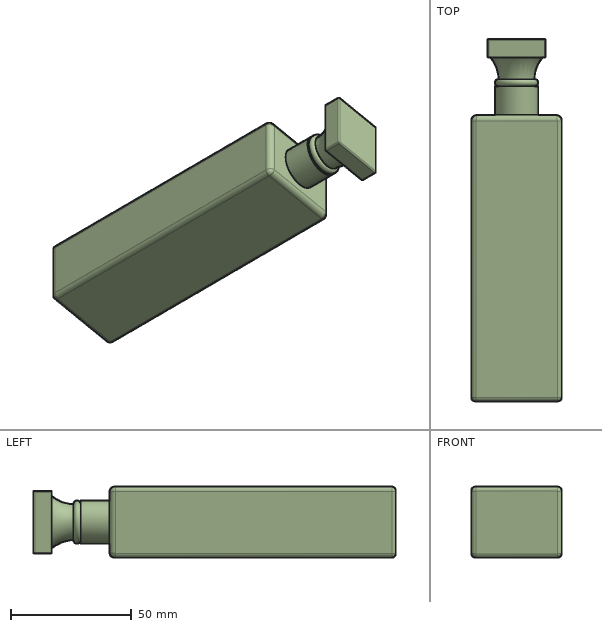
import cadquery as cq

overall_length = 150.6
block_width = 37.6
block_height = 29.7
block_length = 119.0
side_edge_radius = 2.0
front_edge_radius = 1.8
shoulder_radius = 2.4

shaft_diameter = 18.0
ring_length = 3.0
flare_length = 8.9
flare_large_diameter = 21.7

knob_width = 24.2
knob_height = 26.0
knob_thickness = 7.8
knob_edge_radius = 0.6

block_front = -overall_length / 2
block_back = block_front + block_length
knob_back = overall_length / 2
knob_front = knob_back - knob_thickness
flare_front = knob_front - flare_length
ring_front = flare_front - ring_length
shaft_length = ring_front - block_back

shaft_radius = shaft_diameter / 2
waist_radius = shaft_radius - ring_length / 2
flare_large_radius = flare_large_diameter / 2


def box_along_y(width, height, y_start, length):
    """Box centred on the Y axis that starts at y_start."""
    return cq.Workplane("XY").box(width, length, height).translate((0, y_start + length / 2, 0))


def revolve_about_y(profile):
    """Full turn of a half profile about the Y axis."""
    return profile.revolve(360, (0, 0, 0), (0, 1, 0))


def make_block():
    block = box_along_y(block_width, block_height, block_front, block_length)
    block = block.edges("|Y").fillet(side_edge_radius)
    block = block.faces("<Y").edges().fillet(front_edge_radius)
    return block.faces(">Y").edges().fillet(shoulder_radius)


def make_shaft():
    plane = cq.Workplane("XZ", origin=(0, block_back, 0))
    return plane.circle(shaft_radius).extrude(-shaft_length)


def make_ring():
    """Ring with a half-round rim that peaks at the shaft radius."""
    profile = (
        cq.Workplane("XY")
        .moveTo(0, ring_front)
        .lineTo(waist_radius, ring_front)
        .threePointArc((shaft_radius, ring_front + ring_length / 2), (waist_radius, flare_front))
        .lineTo(0, flare_front)
        .close()
    )
    return revolve_about_y(profile)


def make_flare():
    """Waist that leaves the ring parallel to the axis and widens to the knob along an arc."""
    rise = flare_large_radius - waist_radius
    arc_radius = (flare_length**2 + rise**2) / (2 * rise)
    profile = (
        cq.Workplane("XY")
        .moveTo(0, flare_front)
        .lineTo(waist_radius, flare_front)
        .radiusArc((flare_large_radius, knob_front), arc_radius)
        .lineTo(0, knob_front)
        .close()
    )
    return revolve_about_y(profile)


def make_knob():
    knob = box_along_y(knob_width, knob_height, knob_front, knob_thickness)
    return knob.edges().fillet(knob_edge_radius)


block = make_block()
shaft = make_shaft()
ring = make_ring()
flare = make_flare()
knob = make_knob()

result = cq.Compound.makeCompound([block.val(), shaft.val(), ring.val(), flare.val(), knob.val()])